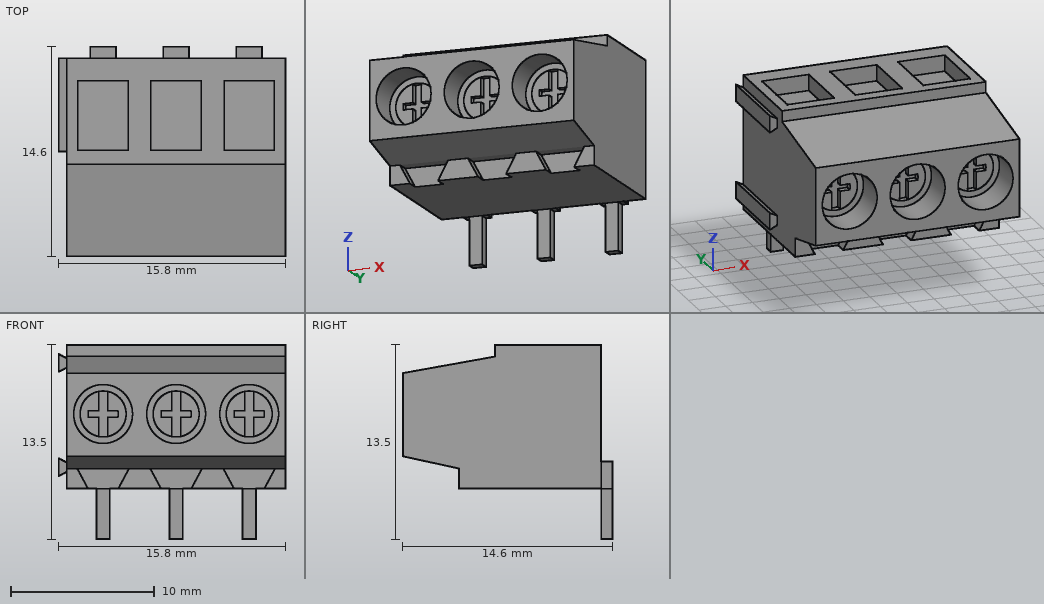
import cadquery as cq


pitch = 5.08
position_count = 3
housing_width = position_count * pitch
left_side_x = -housing_width / 2
position_xs = [left_side_x + (index + 0.5) * pitch for index in range(position_count)]

housing_depth = 13.8
housing_height = 10.0
top_depth = 7.4
top_step_height = 0.8
nose_top_z = 8.05
nose_bottom_z = 2.25
foot_depth = 9.9
foot_height = 1.4

pocket_width = 3.5
pocket_length = 4.85
pocket_rear_margin = 1.57
pocket_depth = 1.2

hole_radius = 2.05
hole_depth = 2.6
hole_z = 5.2
hole_floor_y = hole_depth - housing_depth
screw_radius = 1.6
screw_length = 4.0
slot_depth = 0.5
long_slot_width = 0.64
short_slot_width = 0.44
short_slot_radius = 1.05

notch_top_width = 3.6
notch_bottom_width = 2.1
notch_depth = 1.0

rail_length = 6.5
rail_projection = 0.55
rail_outer_height = 1.25
rail_root_height = 0.68
rail_zs = [1.5, 8.75]

pin_thickness = 0.8
pin_head_width = 1.8
pin_head_height = 1.9
pin_leg_width = 0.95
pin_leg_length = 3.5


def front_plane(x, y, z):
    """Plane facing -Y, with its X along +X and its Y along +Z."""
    return cq.Workplane("XZ", origin=(x, y, z))


def make_body():
    profile = [
        (0, 0),
        (0, housing_height),
        (-top_depth, housing_height),
        (-top_depth, housing_height - top_step_height),
        (-housing_depth, nose_top_z),
        (-housing_depth, nose_bottom_z),
        (-foot_depth, foot_height),
        (-foot_depth, 0),
    ]
    return cq.Workplane("YZ", origin=(left_side_x, 0, 0)).polyline(profile).close().extrude(housing_width)


def make_rail(z):
    """Dovetail rail running forward from the rear face, widest at its outer face."""
    half_root = rail_root_height / 2
    half_outer = rail_outer_height / 2
    section = [
        (0, -half_root),
        (0, half_root),
        (-rail_projection, half_outer),
        (-rail_projection, -half_outer),
    ]
    return front_plane(left_side_x, 0, z).polyline(section).close().extrude(rail_length)


def make_pocket(x):
    middle_y = -pocket_rear_margin - pocket_length / 2
    floor_plane = cq.Workplane("XY", origin=(x, middle_y, housing_height - pocket_depth))
    return floor_plane.rect(pocket_width, pocket_length).extrude(pocket_depth)


def make_notch(x):
    """Tapered notch in the front of the foot, narrowing towards the underside."""
    half_top = notch_top_width / 2
    half_bottom = notch_bottom_width / 2
    outline = [(-half_bottom, 0), (half_bottom, 0), (half_top, foot_height), (-half_top, foot_height)]
    return front_plane(x, notch_depth - foot_depth, 0).polyline(outline).close().extrude(notch_depth)


def make_wire_hole(x):
    return front_plane(x, hole_floor_y, hole_z).circle(hole_radius).extrude(hole_depth)


def make_screw_blank(x):
    """Plain cylinder with its front end level with the floor of the front hole."""
    return front_plane(x, hole_floor_y + screw_length, hole_z).circle(screw_radius).extrude(screw_length)


def make_housing():
    housing = make_body()
    for z in rail_zs:
        housing = housing.union(make_rail(z))
    for x in position_xs:
        housing = housing.cut(make_pocket(x))
        housing = housing.cut(make_notch(x))
        housing = housing.cut(make_wire_hole(x))
        housing = housing.cut(make_screw_blank(x))
    return housing


def make_screw(x):
    """Screw with a cross recess: the upright slot runs right across, the level one stops short."""
    slot_plane = front_plane(x, hole_floor_y + slot_depth, hole_z)
    long_slot = slot_plane.rect(long_slot_width, 2 * screw_radius).extrude(slot_depth)
    short_slot = slot_plane.rect(2 * short_slot_radius, short_slot_width).extrude(slot_depth)
    short_slot = short_slot.intersect(slot_plane.circle(short_slot_radius).extrude(slot_depth))
    return make_screw_blank(x).cut(long_slot).cut(short_slot)


def make_pin(x):
    """Flat pin against the rear face: a wide head with a narrow leg below the housing."""
    half_head = pin_head_width / 2
    half_leg = pin_leg_width / 2
    outline = [
        (-half_head, pin_head_height),
        (half_head, pin_head_height),
        (half_head, 0),
        (half_leg, 0),
        (half_leg, -pin_leg_length),
        (-half_leg, -pin_leg_length),
        (-half_leg, 0),
        (-half_head, 0),
    ]
    return front_plane(x, pin_thickness, 0).polyline(outline).close().extrude(pin_thickness)


housing = make_housing()
screws = [make_screw(x) for x in position_xs]
pins = [make_pin(x) for x in position_xs]

result = cq.Compound.makeCompound(
    [
        housing.val(),
        *[screw.val() for screw in screws],
        *[pin.val() for pin in pins],
    ]
)